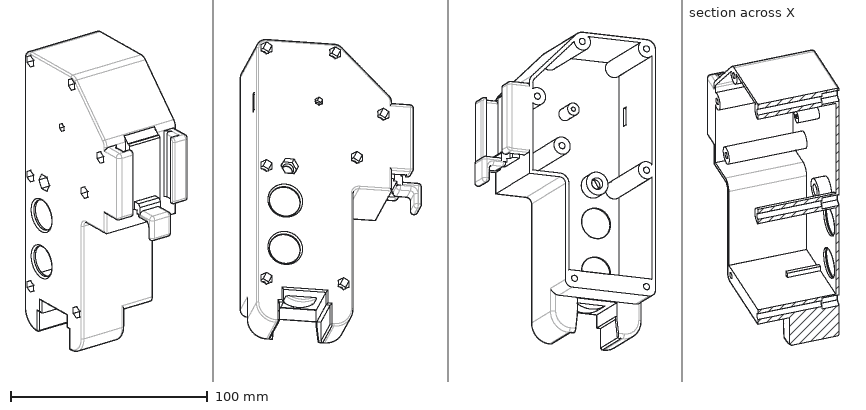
import cadquery as cq
import math

depth = 44.0
height = 153.5
stem_width = 50.0
head_width = 70.0
head_bottom = 75.8
wall = 2.0
front_round = 1.0
top_round = 5.0
foot_round = 10.0
inner_corner_round = 3.0
diagonal_sum = 196.0
floor_top = 27.5

fork_depth = 27.0
fork_back_round = 2.0
rear_bottom = 18.4
rear_bottom_round = 3.7
slot_width = 22.0
slot_top = 18.1
slot_bevel = 0.9
slot_mouth_spread = 1.0
slot_taper_start = 9.2
recess_width = 26.2
recess_top = 11.2
slot_center = stem_width / 2

pad_radius = 14.1
pad_bottom = 15.7
pad_front = 9.2
pad_thickness = 9.2

rib_start = 27.5
rib_height = 2.6
rib_end = 20.0

left_column = 5.0
top_row = 148.6
bottom_row = 23.2
screw_points = [
    (left_column, top_row),
    (40.7, top_row),
    (65.5, 117.0),
    (51.9, 92.4),
    (left_column, 84.6),
    (left_column, bottom_row),
    (45.0, bottom_row),
]
screw_boss_diameter = 9.0
screw_hole_diameter = 3.2
screw_hex_diameter = 6.5
screw_hex_depth = 9.2

pin_point = (32.2, 121.5)
pin_boss_diameter = 6.5
pin_hole_diameter = 2.1
pin_hex_diameter = 4.3
pin_hex_depth = 4.6
pin_boss_length = 12.3

bolt_point = (17.0, 85.2)
bolt_boss_diameter = 12.0
bolt_hole_diameter = 6.0
bolt_hex_diameter = 9.0
bolt_hex_depth = 5.0
bolt_boss_length = 7.7

window_x = 14.7
window_heights = [40.4, 66.2]
window_diameter = 16.0
window_bevel = 1.0

side_slot_width = 3.0
side_slot_height = 9.4
side_slot_y = 8.9
side_slot_z = 122.0

rail_bottom = 87.0
rail_top = 123.7
rail_end = 81.5
rail_thickness = 6.1
rail_lip_reach = 9.5
rail_lip_thickness = 2.8
rail_round = 2.0
rail_inner_round = 1.8
rail_lip_round = 0.9
rail_root_bevel = 1.0

tab_width = 19.0
tab_end = 73.8
tab_top = rail_top
tab_bevel = 0.9
hook_width = 12.7
hook_center = depth / 2
hook_start = 75.7
hook_end = 88.5
hook_bar_top = 87.3
hook_bar_bottom = 83.0
hook_tip_bottom = 73.8
hook_tip_thickness = 3.8
hook_neck_end = 78.6
hook_neck_top = 91.2
hook_neck_bevel = 1.5
hook_round = 1.8

edge_margin = 0.2
corners_sideways = 0
corners_upright = 90


def box(x0, x1, y0, y1, z0, z1):
    return cq.Workplane("XY").box(x1 - x0, y1 - y0, z1 - z0, centered=False).translate((x0, y0, z0))


def near(low, high):
    """Selector for edges centred inside the given box, widened by a small margin."""
    return cq.selectors.BoxSelector(
        tuple(value - edge_margin for value in low),
        tuple(value + edge_margin for value in high),
    )


def cylinder_y(point, diameter, y0, length):
    plane = cq.Workplane("XZ", origin=(0, y0, 0))
    return plane.center(*point).circle(diameter / 2).extrude(-length)


def hexagon_y(point, diameter, length, turn):
    """Hexagonal prism going into the part from the front face."""
    x, z = point
    radius = diameter / 2
    corners = []
    for i in range(6):
        angle = math.radians(turn + 60 * i)
        corners.append((x + radius * math.cos(angle), z + radius * math.sin(angle)))
    return cq.Workplane("XZ").polyline(corners).close().extrude(-length)


def outer_block():
    block = (
        cq.Workplane("XZ")
        .moveTo(0, 0)
        .lineTo(stem_width, 0)
        .lineTo(stem_width, head_bottom)
        .lineTo(head_width, head_bottom)
        .lineTo(head_width, diagonal_sum - head_width)
        .lineTo(diagonal_sum - height, height)
        .lineTo(0, height)
        .close()
        .extrude(-depth)
    )
    rounded_corners = [
        (0, height, top_round),
        (diagonal_sum - height, height, top_round),
        (head_width, diagonal_sum - head_width, top_round),
        (stem_width, head_bottom, inner_corner_round),
        (0, 0, foot_round),
        (stem_width, 0, foot_round),
    ]
    for x, z, radius in rounded_corners:
        corner = near((x, 0, z), (x, depth, z))
        block = block.edges("|Y").edges(corner).fillet(radius)
    return block


def housing():
    """Hollow block with a stepped lower rear; the cavity follows the outline at wall distance."""
    block = outer_block()
    outline = block.faces("<Y").wires().val()
    inner_front = outline.moved(cq.Location((0, wall, 0)))
    cavity = cq.Workplane("XZ", origin=(0, wall, 0)).add(inner_front).toPending()
    cavity = cavity.offset2D(-wall).extrude(-depth)
    cavity = cavity.intersect(box(0, head_width, wall, depth, floor_top, height))
    block = block.faces("<Y").edges().fillet(front_round)

    rear = box(0, stem_width, fork_depth, depth, rear_bottom, head_bottom).edges("|Y and <Z")
    rear = rear.fillet(rear_bottom_round)
    below = box(0, stem_width, fork_depth, depth, 0, rear_bottom + rear_bottom_round).cut(rear)
    block = block.cut(below)
    leg_back = near((0, fork_depth, 0), (stem_width, fork_depth, rear_bottom - fork_back_round))
    block = block.edges(leg_back).fillet(fork_back_round)
    return block.cut(cavity)


def cut_fork(body):
    """Cut the slot between the legs and bevel its front edges."""
    recess_half = recess_width / 2
    body = body.cut(fork_slot())
    mouth = near((slot_center - recess_half, 0, slot_bevel), (slot_center + recess_half, 0, slot_top))
    return body.edges(mouth).chamfer(slot_bevel)


def fork_slot():
    """Slot that widens towards the tips, with a wider recess inside the front of the legs."""
    half = slot_width / 2
    tip = half + slot_mouth_spread
    profile = [
        (-tip, 0), (-half, slot_taper_start), (-half, slot_top),
        (half, slot_top), (half, slot_taper_start), (tip, 0),
    ]
    slot = cq.Workplane("XZ").center(slot_center, 0).polyline(profile).close().extrude(-depth)
    slot = slot.intersect(box(0, stem_width, 0, fork_depth, 0, slot_top))
    recess_half = recess_width / 2
    recess_depth = fork_depth - wall
    recess = box(slot_center - recess_half, slot_center + recess_half, 0, recess_depth, 0, recess_top)
    return slot.union(recess)


def slot_pad():
    pad = cylinder_y((slot_center, pad_bottom + pad_radius), 2 * pad_radius, pad_front, pad_thickness)
    pad = pad.faces("<Y").edges().fillet(front_round)
    return pad.intersect(box(0, stem_width, 0, depth, 0, slot_top + wall))


def fastener_bosses():
    bosses = cylinder_y(pin_point, pin_boss_diameter, front_round, pin_boss_length)
    bosses = bosses.union(cylinder_y(bolt_point, bolt_boss_diameter, front_round, bolt_boss_length))
    standing_points = [point for point in screw_points if point[1] > floor_top]
    for point in standing_points:
        bosses = bosses.union(cylinder_y(point, screw_boss_diameter, front_round, depth - front_round))
    return bosses.intersect(outer_block())


def fastener_cuts():
    cuts = cylinder_y(pin_point, pin_hole_diameter, 0, depth)
    cuts = cuts.union(hexagon_y(pin_point, pin_hex_diameter, pin_hex_depth, corners_upright))
    cuts = cuts.union(cylinder_y(bolt_point, bolt_hole_diameter, 0, depth))
    cuts = cuts.union(hexagon_y(bolt_point, bolt_hex_diameter, bolt_hex_depth, corners_sideways))
    for point in screw_points:
        cuts = cuts.union(cylinder_y(point, screw_hole_diameter, 0, depth))
        cuts = cuts.union(hexagon_y(point, screw_hex_diameter, screw_hex_depth, corners_upright))
    return cuts


def windows():
    radius = window_diameter / 2
    cuts = cq.Workplane("XZ")
    for z in window_heights:
        bevel = cq.Solid.makeCone(
            radius + window_bevel, radius, window_bevel, cq.Vector(window_x, 0, z), cq.Vector(0, 1, 0)
        )
        cuts = cuts.add(cylinder_y((window_x, z), window_diameter, 0, wall).union(cq.Workplane(bevel)))
    return cuts.combine()


def side_slot():
    half_height = side_slot_height / 2
    half_width = side_slot_width / 2
    return box(
        0, wall,
        side_slot_y - half_width, side_slot_y + half_width,
        side_slot_z - half_height, side_slot_z + half_height,
    )


def front_rail():
    """Rail at the front; its root fills the rounded front edge of the housing."""
    root = head_width - front_round
    lip_start = rail_end - rail_lip_thickness
    outline = [
        (root, 0),
        (rail_end, 0),
        (rail_end, rail_lip_reach),
        (lip_start, rail_lip_reach),
        (lip_start, rail_thickness),
        (head_width + rail_root_bevel, rail_thickness),
        (head_width, rail_thickness + rail_root_bevel),
        (root, rail_thickness + rail_root_bevel),
    ]
    rail = cq.Workplane("XY").workplane(offset=rail_bottom).polyline(outline).close()
    rail = rail.extrude(rail_top - rail_bottom)
    rail = rail.edges("|X and <Y and <Z").fillet(front_round)
    rail = rail.edges("|Y and >X and >Z").fillet(rail_round)
    rail = rail.faces("<Y").edges("not <X").edges("not <Z").fillet(rail_round)
    rail = rail.edges("|X and >Y").fillet(rail_lip_round)
    inner_top_edge = near((head_width, rail_thickness, rail_top), (lip_start, rail_thickness, rail_top))
    return rail.edges("|X").edges(inner_top_edge).fillet(rail_inner_round)


def tab_and_hook():
    """Pad on the right wall carrying a hook that points down."""
    tab = (
        cq.Workplane("XZ", origin=(0, hook_center - tab_width / 2, 0))
        .moveTo(head_width - front_round, rail_bottom)
        .lineTo(tab_end, rail_bottom)
        .lineTo(tab_end, tab_top - tab_bevel)
        .lineTo(tab_end - tab_bevel, tab_top)
        .lineTo(diagonal_sum - tab_top, tab_top)
        .lineTo(head_width - front_round, diagonal_sum - head_width + front_round)
        .close()
        .extrude(-tab_width)
    )
    y0 = hook_center - hook_width / 2
    y1 = hook_center + hook_width / 2
    tip_start = hook_end - hook_tip_thickness
    bar = box(hook_start, hook_end, y0, y1, hook_bar_bottom, hook_bar_top)
    tip = box(tip_start, hook_end, y0, y1, hook_tip_bottom, hook_bar_top)
    hook = bar.union(tip)
    hook = hook.edges().fillet(hook_round)
    neck = box(hook_start, hook_neck_end, y0, y1, (hook_bar_bottom + hook_bar_top) / 2, hook_neck_top)
    arm = box(head_width, hook_neck_end, y0, y1, rail_bottom, hook_neck_top)
    neck = neck.union(arm).edges("|Y and >Z and >X").chamfer(hook_neck_bevel)
    return tab.union(hook).union(neck)


def rib():
    return box(rib_start, rib_start + wall, wall, rib_end, floor_top, floor_top + rib_height)


result = housing().union(fastener_bosses()).union(rib())
result = cut_fork(result).union(slot_pad())
result = result.cut(fastener_cuts()).cut(windows()).cut(side_slot())
rail = front_rail()
rear_rail = rail.mirror("XZ", (0, depth / 2, 0))
result = result.union(rail).union(rear_rail).union(tab_and_hook())